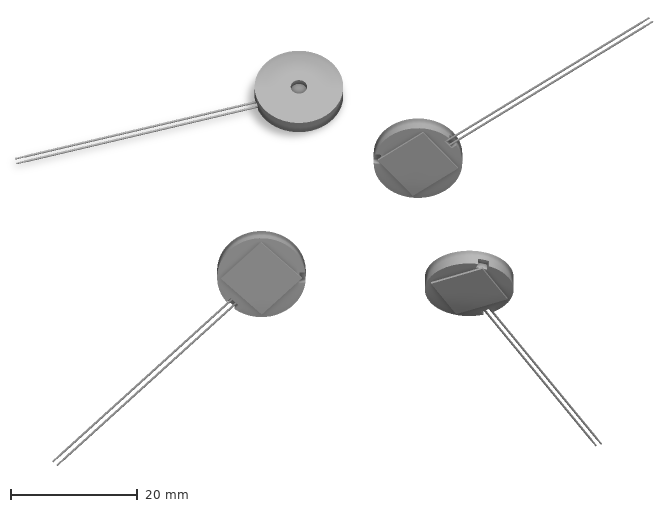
import cadquery as cq

case_diameter = 14.0
case_height = 2.5
case_radius = case_diameter / 2

sound_hole_diameter = 2.6
sound_hole_depth = 1.0

plate_side = 9.0
plate_thickness = 0.35

notch_width = 1.8
notch_height = 1.0
notch_depth = 1.0
wire_notch_angle = -90.0
side_notch_angle = 135.0

overall_length = 53.5
wire_spacing = 0.93
wire_height = 0.43
insulation_diameter = 0.34
bare_end_diameter = 0.27
bare_end_length = 1.5
wire_end_y = case_radius - overall_length
insulation_end_y = wire_end_y + bare_end_length
notch_wall_radius = case_radius - notch_depth
wire_embedment = 0.2
wire_start_y = -notch_wall_radius + wire_embedment


def make_case():
    case = cq.Workplane("XY").circle(case_radius).extrude(case_height)
    plate = cq.Workplane("XY").rect(plate_side, plate_side).extrude(-plate_thickness)
    return case.union(plate)


def make_sound_hole():
    hole_floor = case_height - sound_hole_depth
    return (
        cq.Workplane("XY", origin=(0, 0, hole_floor))
        .circle(sound_hole_diameter / 2)
        .extrude(sound_hole_depth)
    )


def make_notch(angle):
    """Box reaching from the notch wall out past the rim, in the given direction."""
    cut_length = 2 * notch_depth
    return (
        cq.Workplane("XY")
        .box(cut_length, notch_width, notch_height, centered=(False, True, False))
        .translate((notch_wall_radius, 0, 0))
        .rotate((0, 0, 0), (0, 0, 1), angle)
    )


def make_rod(x, diameter, end_y):
    """Round rod along -Y, from inside the notch wall to end_y."""
    return (
        cq.Workplane("XZ", origin=(x, wire_start_y, wire_height))
        .circle(diameter / 2)
        .extrude(wire_start_y - end_y)
    )


def make_wire(x):
    insulation = make_rod(x, insulation_diameter, insulation_end_y)
    core = make_rod(x, bare_end_diameter, wire_end_y)
    return insulation.union(core)


result = make_case().cut(make_sound_hole())
for notch_angle in (wire_notch_angle, side_notch_angle):
    result = result.cut(make_notch(notch_angle))
for side in (-1, 1):
    result = result.union(make_wire(side * wire_spacing / 2))